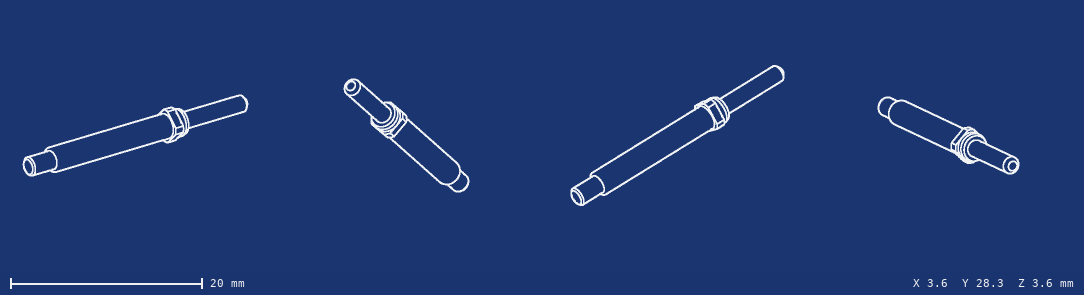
import cadquery as cq

total_length = 28.3

stem_diameter = 1.8
stem_length = 8.32
stem_tip_chamfer = 0.4

collar_diameter = 3.0
collar_nose_diameter = 2.72
collar_length = 1.02
collar_taper_length = 0.42

flange_thickness = 1.0
flange_diameter = 3.6
flange_across_flats = collar_diameter
corner_angle = 45

plunger_diameter = 2.0
plunger_length = 3.0
plunger_chamfer = 0.2

barrel_diameter = 2.7
barrel_fillet = 0.2
barrel_length = total_length - stem_length - collar_length - flange_thickness - plunger_length

collar_start = flange_thickness
collar_end = collar_start + collar_length
stem_end = collar_end + stem_length
barrel_end = -barrel_length
plunger_end = barrel_end - plunger_length


def rod(diameter, y_low, y_high):
    """Cylinder on the Y axis between two places."""
    base = cq.Workplane("XZ", origin=(0, y_high, 0))
    return base.circle(diameter / 2).extrude(y_high - y_low)


def make_collar():
    """Straight band with a cone at its stem end, turned about Y."""
    half_outline = [
        (0, collar_start),
        (collar_diameter / 2, collar_start),
        (collar_diameter / 2, collar_end - collar_taper_length),
        (collar_nose_diameter / 2, collar_end),
        (0, collar_end),
    ]
    return cq.Workplane("XY").polyline(half_outline).close().revolve(360, (0, 0), (0, 1))


def make_flange():
    square = (
        cq.Workplane("XZ", origin=(0, flange_thickness, 0))
        .rect(flange_across_flats, flange_across_flats)
        .extrude(flange_thickness)
        .rotate((0, 0, 0), (0, 1, 0), corner_angle)
    )
    return square.intersect(rod(flange_diameter, 0, flange_thickness))


stem = rod(stem_diameter, collar_end, stem_end).faces(">Y").chamfer(stem_tip_chamfer)
barrel = rod(barrel_diameter, barrel_end, 0).faces("<Y").edges().fillet(barrel_fillet)
plunger = rod(plunger_diameter, plunger_end, barrel_end).faces("<Y").chamfer(plunger_chamfer)

result = stem.union(make_collar()).union(make_flange()).union(barrel).union(plunger)